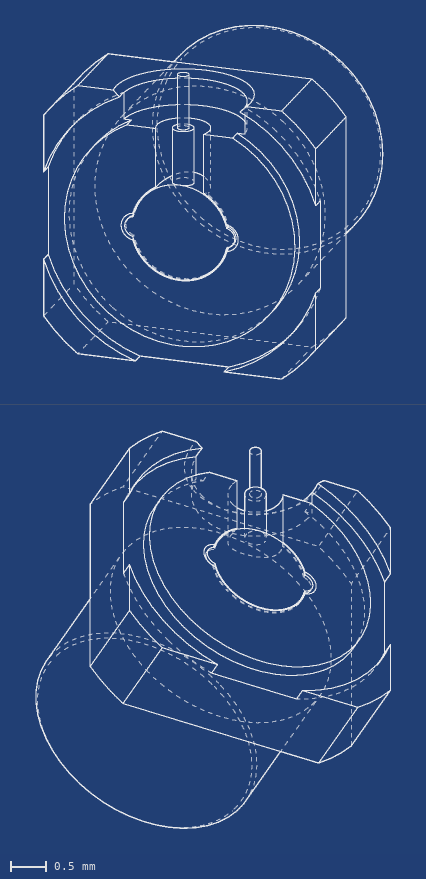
import cadquery as cq

flange_side = 4.0
flange_corner_radius = 2.5
flange_thickness = 1.3
half_side = flange_side / 2

total_length = 3.81
barrel_radius = 1.695
barrel_chamfer = 0.05

groove_outer_radius = 2.103
groove_inner_radius = barrel_radius
groove_depth = 0.198

pin_axis_y = 0.15
pin_base_radius = 0.15
pin_tip_radius = 0.08
pin_top_z = 2.3
recess_radius = 0.89
recess_chamfer = 0.1
recess_depth = 0.495
pin_well_radius = 0.383
recess_floor_z = half_side - recess_depth

disc_radius = 0.705
disc_clearance = 0.015
gap_depth = 0.05
ear_radius = 0.15
ear_center_x = 0.66


def cylinder_along_y(radius, length, x=0.0):
    """Solid cylinder running towards +Y from the flange face."""
    return cq.Workplane("XZ", origin=(x, 0, 0)).circle(radius).extrude(-length)


def cylinder_on_pin_axis(radius, bottom_z, top_z):
    """Solid vertical cylinder on the pin axis."""
    return cq.Workplane("XY", origin=(0, pin_axis_y, bottom_z)).circle(radius).extrude(top_z - bottom_z)


square = cq.Workplane("XZ").rect(flange_side, flange_side).extrude(-flange_thickness)
flange = square.intersect(cylinder_along_y(flange_corner_radius, flange_thickness))
barrel = cylinder_along_y(barrel_radius, total_length).faces(">Y").chamfer(barrel_chamfer)
body = flange.union(barrel)

groove = cylinder_along_y(groove_outer_radius, groove_depth).cut(
    cylinder_along_y(groove_inner_radius, groove_depth)
)
body = body.cut(groove)

recess = cylinder_on_pin_axis(recess_radius, recess_floor_z, half_side)
recess_mouth = (
    cq.Workplane("XY", origin=(0, pin_axis_y, half_side))
    .circle(recess_radius + recess_chamfer)
    .workplane(offset=-recess_chamfer)
    .circle(recess_radius)
    .loft()
)
body = body.cut(recess).cut(recess_mouth)

body = body.cut(cylinder_on_pin_axis(pin_well_radius, 0, recess_floor_z))

gap = cylinder_along_y(disc_radius + disc_clearance, gap_depth)
disc = cylinder_along_y(disc_radius, flange_thickness)
for side in (-1, 1):
    ear_x = side * ear_center_x
    ear_mouth = (
        cq.Workplane("XZ", origin=(ear_x, 0, 0))
        .circle(ear_radius + gap_depth)
        .workplane(offset=-gap_depth)
        .circle(ear_radius)
        .loft()
    )
    gap = gap.union(ear_mouth)
    disc = disc.union(cylinder_along_y(ear_radius, flange_thickness, x=ear_x))
body = body.cut(gap)

pin = cylinder_on_pin_axis(pin_base_radius, 0, recess_floor_z).union(
    cylinder_on_pin_axis(pin_tip_radius, recess_floor_z, pin_top_z)
)

result = body.union(disc).union(pin)